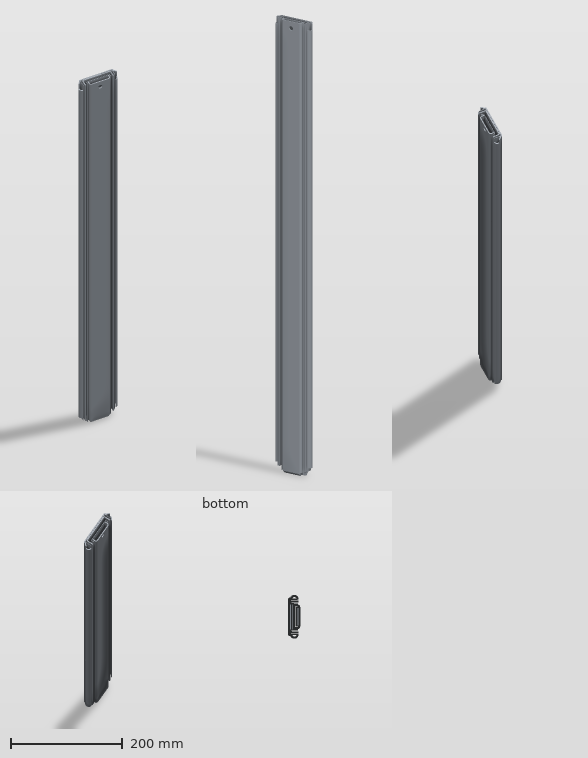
import cadquery as cq
import math


DEPTH = 19.7
WIDTH = 76.19
LENGTH = 863.6
BACK_X = -DEPTH / 2
FRONT_X = DEPTH / 2
TOP_Z = LENGTH / 2
BOTTOM_Z = -LENGTH / 2

SHEET = 1.8
OUTER_BEND = 2.4

SHOULDER_Y = 33.75
RACE_HALF_CHORD = 6.3
RACE_CENTER_X = 0.2
RACE_DEPTH = WIDTH / 2 - SHOULDER_Y
RACE_RADIUS = (RACE_HALF_CHORD**2 + RACE_DEPTH**2) / (2 * RACE_DEPTH)
RACE_CENTER_Y = WIDTH / 2 - RACE_RADIUS
FLANGE_TIP_X = RACE_CENTER_X + RACE_HALF_CHORD

LIP_REACH = 5.0
LIP_TOP_Z = BOTTOM_Z + LIP_REACH
OUTER_LIP_HALF_WIDTH = 23.6
OUTER_TOE_X = -0.9
INNER_TOE_X = 3.0

FLANGE_BOTTOM_Z = -414.0
CORNER_CUT_Y = 31.0
CORNER_CUT_DROP = 4.0
NOTCH_X = -1.0
NOTCH_BOTTOM_Z = 420.0

SCREW_HOLE_DIAMETER = 6.6
SCREW_HOLE_Z = [400.6, 343.4, 184.2, 0.0, -185.0, -371.8, -400.6]
PILOT_HOLE_DIAMETER = 5.0
PILOT_HOLE_Z = [420.4, 355.4, 12.2, -169.8, -357.0]
SLOT_WIDTH = 7.5
SLOT_LENGTH = 13.0
LOWER_SLOT_Z = -342.3
END_SLOT_WIDTH = 6.6
END_SLOT_Z = -417.5
KEYED_SLOT_Z = 377.5

MIDDLE_BACK_X = -7.2
MIDDLE_HALF_WIDTH = 28.5
MIDDLE_BEND = 2.4
MIDDLE_BOTTOM_Z = -421.3

INNER_BACK_X = 1.0
INNER_HALF_WIDTH = 20.8
INNER_BEND = 4.0
INNER_HOLE_DIAMETER = 8.0
INNER_HOLE_Z = 419.0

RETAINER_SHEET = 0.6
RETAINER_BEND = 2.0
OUTER_RETAINER_BACK_X = -7.9
OUTER_RETAINER_FRONT_X = 5.0
OUTER_RETAINER_HALF_WIDTH = 31.8
INNER_RETAINER_BACK_X = -0.4
INNER_RETAINER_FRONT_X = 5.5
INNER_RETAINER_HALF_WIDTH = 23.2
INNER_RETAINER_BOTTOM_Z = -428.5


def channel(web_x, tip_x, half_width, sheet, bend, bottom_z, top_z):
    """Bent-sheet U channel whose web's outside face is at web_x and whose flanges end at tip_x."""
    inward = math.copysign(1, tip_x - web_x)
    center_x = (web_x + tip_x) / 2
    depth = abs(tip_x - web_x)
    web_edges = "<X" if inward > 0 else ">X"

    def block(size_x, size_y):
        return cq.Workplane("XY").box(size_x, size_y, top_z - bottom_z, centered=(True, True, False))

    outside = block(depth, 2 * half_width).edges("|Z").edges(web_edges).fillet(bend)
    inside = block(depth, 2 * (half_width - sheet)).edges("|Z").edges(web_edges).fillet(bend - sheet)
    shell = outside.cut(inside.translate((inward * sheet, 0, 0)))
    return shell.translate((center_x, 0, bottom_z))


def stop_lip(web_x, toe_x, half_width):
    """Sheet lip that leaves a web's lower edge at 45 degrees and runs level to toe_x."""
    inward = math.copysign(1, toe_x - web_x)
    bend_offset = SHEET * math.tan(math.pi / 8)
    slope_end_x = web_x + inward * LIP_REACH
    return (
        cq.Workplane("XZ")
        .moveTo(web_x, LIP_TOP_Z + SHEET)
        .lineTo(web_x, LIP_TOP_Z)
        .lineTo(slope_end_x, BOTTOM_Z)
        .lineTo(toe_x, BOTTOM_Z)
        .lineTo(toe_x, BOTTOM_Z + SHEET)
        .lineTo(slope_end_x + inward * bend_offset, BOTTOM_Z + SHEET)
        .lineTo(web_x + inward * SHEET, LIP_TOP_Z + bend_offset)
        .lineTo(web_x + inward * SHEET, LIP_TOP_Z + SHEET)
        .close()
        .extrude(half_width, both=True)
    )


def raced_block(inset):
    """Solid filling the outer rail's section, with every sheet face moved inward by inset."""
    web_x = BACK_X + inset
    depth = FLANGE_TIP_X - web_x
    block = (
        cq.Workplane("XY")
        .box(depth, 2 * (SHOULDER_Y - inset), LENGTH)
        .edges("|Z and <X")
        .fillet(OUTER_BEND - inset)
        .translate((web_x + depth / 2, 0, 0))
    )
    races = (
        cq.Workplane("XY", origin=(RACE_CENTER_X, 0, BOTTOM_Z))
        .pushPoints([(0, RACE_CENTER_Y), (0, -RACE_CENTER_Y)])
        .circle(RACE_RADIUS - inset)
        .extrude(LENGTH)
    )
    in_front_of_tip = (
        cq.Workplane("XY").box(DEPTH, WIDTH, LENGTH).translate((FLANGE_TIP_X + DEPTH / 2, 0, 0))
    )
    return block.union(races.cut(in_front_of_tip))


def web_openings():
    """Cutters for the holes and slots along the centreline of the outer web."""
    web_plane = cq.Workplane("YZ", origin=(BACK_X, 0, 0))

    def holes(heights, diameter):
        return web_plane.pushPoints([(0, z) for z in heights]).circle(diameter / 2).extrude(SHEET)

    def slot(z, width):
        return web_plane.center(0, z).slot2D(SLOT_LENGTH, width, 90).extrude(SHEET)

    keyed_slot = slot(KEYED_SLOT_Z, SLOT_WIDTH).union(
        web_plane.center(0, KEYED_SLOT_Z + SLOT_LENGTH / 4)
        .rect(SLOT_WIDTH, SLOT_LENGTH / 2)
        .extrude(SHEET)
    )
    return [
        holes(SCREW_HOLE_Z, SCREW_HOLE_DIAMETER),
        holes(PILOT_HOLE_Z, PILOT_HOLE_DIAMETER),
        slot(LOWER_SLOT_Z, SLOT_WIDTH),
        slot(END_SLOT_Z, END_SLOT_WIDTH),
        keyed_slot,
    ]


def bottom_corner(side):
    """Cutter that trims the outer rail's flange and web corner above the lip on one side."""
    depth_to_tip = FLANGE_TIP_X - BACK_X
    return (
        cq.Workplane("YZ", origin=(BACK_X, 0, 0))
        .moveTo(side * WIDTH / 2, FLANGE_BOTTOM_Z)
        .lineTo(side * CORNER_CUT_Y, FLANGE_BOTTOM_Z)
        .lineTo(side * OUTER_LIP_HALF_WIDTH, FLANGE_BOTTOM_Z - CORNER_CUT_DROP)
        .lineTo(side * OUTER_LIP_HALF_WIDTH, BOTTOM_Z)
        .lineTo(side * WIDTH / 2, BOTTOM_Z)
        .close()
        .extrude(depth_to_tip)
    )


def make_outer_rail():
    web_bottom = LIP_TOP_Z + SHEET
    below_web = cq.Workplane("XY").box(DEPTH, WIDTH, web_bottom - BOTTOM_Z, centered=(True, True, False))
    top_notch = (
        cq.Workplane("XY")
        .box(DEPTH, WIDTH, TOP_Z - NOTCH_BOTTOM_Z, centered=(False, True, False))
        .translate((NOTCH_X, 0, NOTCH_BOTTOM_Z))
    )
    rail = raced_block(0).cut(raced_block(SHEET))
    rail = rail.cut(below_web.translate((0, 0, BOTTOM_Z)))
    rail = rail.union(stop_lip(BACK_X, OUTER_TOE_X, OUTER_LIP_HALF_WIDTH)).cut(top_notch)
    for side in (1, -1):
        rail = rail.cut(bottom_corner(side))
    for opening in web_openings():
        rail = rail.cut(opening)
    return rail


def make_middle_rail():
    return channel(
        MIDDLE_BACK_X, FLANGE_TIP_X, MIDDLE_HALF_WIDTH, SHEET, MIDDLE_BEND, MIDDLE_BOTTOM_Z, TOP_Z
    )


def make_inner_rail():
    rail = channel(
        FRONT_X, INNER_BACK_X, INNER_HALF_WIDTH, SHEET, INNER_BEND, LIP_TOP_Z + SHEET, TOP_Z
    )
    web_hole = (
        cq.Workplane("YZ", origin=(FRONT_X - SHEET, 0, INNER_HOLE_Z))
        .circle(INNER_HOLE_DIAMETER / 2)
        .extrude(SHEET)
    )
    lip = stop_lip(FRONT_X, INNER_TOE_X, INNER_HALF_WIDTH - INNER_BEND)
    return rail.union(lip).cut(web_hole)


def make_ball_retainer(back_x, front_x, half_width, bottom_z):
    return channel(back_x, front_x, half_width, RETAINER_SHEET, RETAINER_BEND, bottom_z, TOP_Z)


outer_rail = make_outer_rail()
middle_rail = make_middle_rail()
inner_rail = make_inner_rail()
retainer_spans = [
    (OUTER_RETAINER_BACK_X, OUTER_RETAINER_FRONT_X, OUTER_RETAINER_HALF_WIDTH, MIDDLE_BOTTOM_Z),
    (
        INNER_RETAINER_BACK_X,
        INNER_RETAINER_FRONT_X,
        INNER_RETAINER_HALF_WIDTH,
        INNER_RETAINER_BOTTOM_Z,
    ),
]
ball_retainers = [make_ball_retainer(*span) for span in retainer_spans]

result = cq.Compound.makeCompound(
    [
        outer_rail.solids().val(),
        middle_rail.solids().val(),
        inner_rail.solids().val(),
        *[retainer.solids().val() for retainer in ball_retainers],
    ]
)